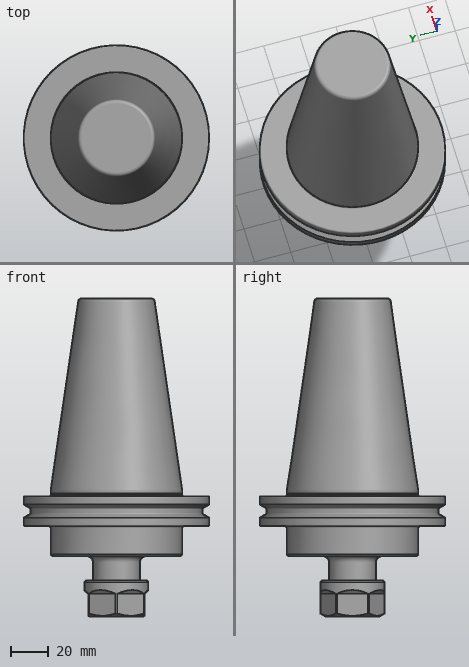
import cadquery as cq
import math


GAUGE_DIA = 69.85
TAPER_RATIO = 7 / 24
TAPER_LENGTH = 101.6
TIP_ROUND = 2.0
TAPER_LAND = 1.6
RELIEF_DEPTH = 0.3
RELIEF_FILLET = 0.8

FLANGE_DIA = 98.42
FLANGE_TOP = -3.18
FLANGE_BOTTOM = -19.05
FLANGE_ROUND = 0.8
FLANGE_FILLET = 1.0
GROOVE_DIA = 91.29
GROOVE_MID = (FLANGE_TOP + FLANGE_BOTTOM) / 2
GROOVE_FLOOR_WIDTH = 2.9
GROOVE_FLANK_ANGLE = 30
GROOVE_ROOT_FILLET = 0.8

BODY_DIA = GAUGE_DIA
BODY_BOTTOM = -35.1
BODY_CHAMFER = 1.0

NECK_DIA = 25.0
NECK_FILLET = 3.0

NUT_DIA = 34.0
NUT_HEIGHT = 19.3
NUT_BOTTOM = -67.0
NUT_TOP_CHAMFER = 1.0
NUT_TIP_DIA = 28.4
NUT_TIP_ANGLE = 30
HEX_ACROSS_FLATS = 30.0
HEX_HEIGHT = 12.1
HEX_SIDES = 6


def revolve(outline):
    """Turn a closed (radius, height) outline about the Z axis."""
    return outline.close().revolve(360, (0, 0, 0), (0, 1, 0))


def make_holder():
    """Taper, flange, body and neck as one turned solid."""
    gauge_radius = GAUGE_DIA / 2
    relief_radius = gauge_radius - RELIEF_DEPTH
    flange_radius = FLANGE_DIA / 2
    groove_radius = GROOVE_DIA / 2
    body_radius = BODY_DIA / 2
    neck_radius = NECK_DIA / 2
    neck_bottom = NUT_BOTTOM + NUT_HEIGHT

    half_angle = math.atan(TAPER_RATIO / 2)
    round_z = TAPER_LENGTH - TIP_ROUND
    round_end_z = round_z + TIP_ROUND * math.sin(half_angle)
    round_end_r = gauge_radius - round_end_z * TAPER_RATIO / 2
    round_r = round_end_r - TIP_ROUND * math.cos(half_angle)
    mid_angle = (math.pi / 2 + half_angle) / 2
    round_mid = (
        round_r + TIP_ROUND * math.cos(mid_angle),
        round_z + TIP_ROUND * math.sin(mid_angle),
    )

    floor_half = GROOVE_FLOOR_WIDTH / 2
    flank_angle = math.radians(GROOVE_FLANK_ANGLE)
    mouth_half = floor_half + (flange_radius - groove_radius) * math.tan(flank_angle)

    root_tangent = GROOVE_ROOT_FILLET * math.tan((math.pi / 2 - flank_angle) / 2)
    root_floor_half = floor_half - root_tangent
    root_flank_half = floor_half + root_tangent * math.sin(flank_angle)
    root_flank_r = groove_radius + root_tangent * math.cos(flank_angle)

    fillet = FLANGE_FILLET
    rim_round = FLANGE_ROUND
    outline = (
        cq.Workplane("XZ")
        .moveTo(0, TAPER_LENGTH)
        .lineTo(round_r, TAPER_LENGTH)
        .threePointArc(round_mid, (round_end_r, round_end_z))
        .lineTo(gauge_radius, 0)
        .lineTo(gauge_radius, -TAPER_LAND)
        .lineTo(relief_radius, FLANGE_TOP + RELIEF_FILLET)
        .radiusArc((relief_radius + RELIEF_FILLET, FLANGE_TOP), -RELIEF_FILLET)
        .lineTo(flange_radius - rim_round, FLANGE_TOP)
        .radiusArc((flange_radius, FLANGE_TOP - rim_round), rim_round)
        .lineTo(flange_radius, GROOVE_MID + mouth_half)
        .lineTo(root_flank_r, GROOVE_MID + root_flank_half)
        .radiusArc((groove_radius, GROOVE_MID + root_floor_half), -GROOVE_ROOT_FILLET)
        .lineTo(groove_radius, GROOVE_MID - root_floor_half)
        .radiusArc((root_flank_r, GROOVE_MID - root_flank_half), -GROOVE_ROOT_FILLET)
        .lineTo(flange_radius, GROOVE_MID - mouth_half)
        .lineTo(flange_radius, FLANGE_BOTTOM + rim_round)
        .radiusArc((flange_radius - rim_round, FLANGE_BOTTOM), rim_round)
        .lineTo(body_radius + fillet, FLANGE_BOTTOM)
        .radiusArc((body_radius, FLANGE_BOTTOM - fillet), -fillet)
        .lineTo(body_radius, BODY_BOTTOM + BODY_CHAMFER)
        .lineTo(body_radius - BODY_CHAMFER, BODY_BOTTOM)
        .lineTo(neck_radius + NECK_FILLET, BODY_BOTTOM)
        .radiusArc((neck_radius, BODY_BOTTOM - NECK_FILLET), -NECK_FILLET)
        .lineTo(neck_radius, neck_bottom)
        .lineTo(0, neck_bottom)
    )
    return revolve(outline)


def make_nut():
    """Round blank with both ends chamfered and six wrench flats."""
    radius = NUT_DIA / 2
    tip_radius = NUT_TIP_DIA / 2
    top = NUT_BOTTOM + NUT_HEIGHT
    tip_rise = (radius - tip_radius) * math.tan(math.radians(NUT_TIP_ANGLE))
    nut = revolve(
        cq.Workplane("XZ")
        .moveTo(0, top)
        .lineTo(radius - NUT_TOP_CHAMFER, top)
        .lineTo(radius, top - NUT_TOP_CHAMFER)
        .lineTo(radius, NUT_BOTTOM + tip_rise)
        .lineTo(tip_radius, NUT_BOTTOM)
        .lineTo(0, NUT_BOTTOM)
    )

    flat = HEX_ACROSS_FLATS / 2
    flat_top = NUT_BOTTOM + HEX_HEIGHT
    flat_cutter = (
        cq.Workplane("XZ")
        .moveTo(flat, NUT_BOTTOM)
        .lineTo(flat, flat_top)
        .lineTo(NUT_DIA, flat_top + NUT_DIA - flat)
        .lineTo(NUT_DIA, NUT_BOTTOM)
        .close()
        .extrude(radius, both=True)
    )
    for side in range(HEX_SIDES):
        turn = side * 360 / HEX_SIDES
        nut = nut.cut(flat_cutter.rotate((0, 0, 0), (0, 0, 1), turn))
    return nut


result = make_holder().union(make_nut())